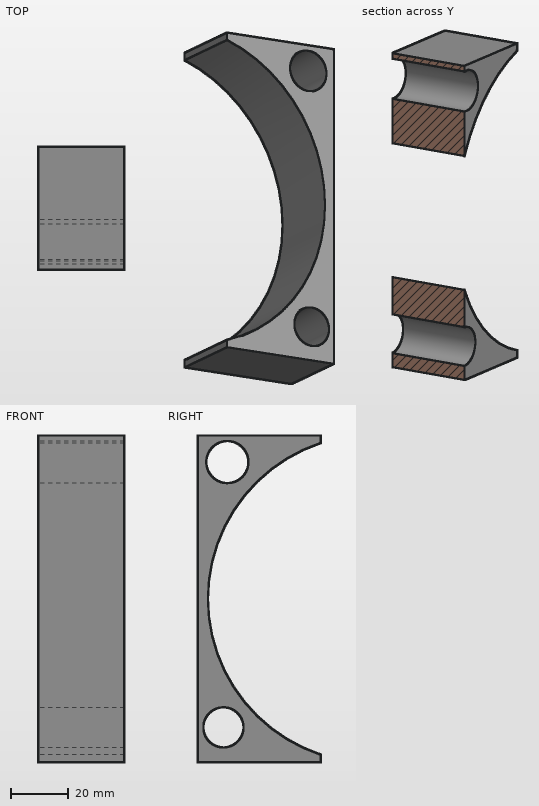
import cadquery as cq

width = 30.0
depth = 43.1
height = 114.3

saddle_radius = 57.2
back_wall = 3.7
saddle_y = back_wall + saddle_radius
saddle_z = height / 2

upper_hole = (14.6, 10.4, 104.9)
lower_hole = (13.9, 9.0, 12.2)


def cylinder_along_x(diameter, y, z):
    """Cylinder spanning the full block width."""
    return cq.Workplane("YZ").center(y, z).circle(diameter / 2).extrude(width)


result = cq.Workplane("XY").box(width, depth, height, centered=False)
result = result.cut(cylinder_along_x(2 * saddle_radius, saddle_y, saddle_z))
for hole in (upper_hole, lower_hole):
    result = result.cut(cylinder_along_x(*hole))